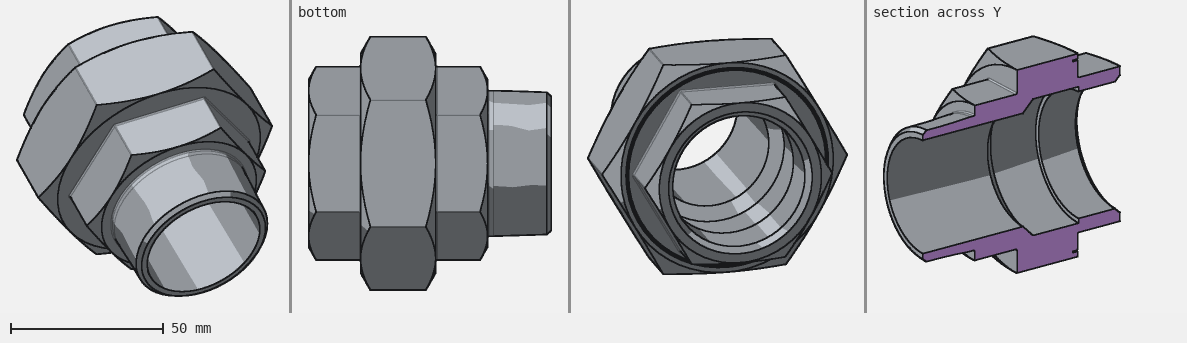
import cadquery as cq
import math


overall_length = 79.5
nut_start = 17.0
nut_end = 41.6
body_end = 58.6

body_across_flats = 55.0
nut_across_flats = 72.0
hex_edge_radius = 0.3
hex_chamfer_angle = 30.0
hex_root_radius = 0.5

groove_outer_diameter = 68.0
collar_diameter = 67.4
groove_depth = 2.0
nut_mouth_chamfer = 0.3
collar_chamfer = 0.3

male_diameter = 47.8
male_root_radius = 0.45
male_collar_length = 1.9
male_taper = 1 / 16
male_end_chamfer_length = 1.5
male_end_chamfer_height = 1.35

bore_diameter = 40.0
socket_diameter = 44.84
socket_mouth_diameter = 48.7
socket_mouth_chamfer_length = 2.0
socket_depth = 16.8
relief_diameter = 48.2
relief_end = 35.0


def revolve_about_x(profile):
    """Solid of revolution of a closed XY profile about the X axis."""
    return profile.close().revolve(360, (0, 0, 0), (1, 0, 0))


def hex_prism(across_flats, start, end):
    """Hexagonal prism along X with slightly rounded long edges."""
    across_corners = across_flats / math.cos(math.pi / 6)
    return (
        cq.Workplane("YZ", origin=(start, 0, 0))
        .polygon(6, across_corners)
        .extrude(end - start)
        .edges("|X")
        .fillet(hex_edge_radius)
    )


def corner_chamfer_envelope(across_flats, start, end, chamfer_start, chamfer_end):
    """Cylinder whose conical ends cut the hexagon corners back to the flats."""
    flat_radius = across_flats / 2
    corner_radius = flat_radius / math.cos(math.pi / 6)
    chamfer_length = (corner_radius - flat_radius) * math.tan(math.radians(hex_chamfer_angle))
    profile = cq.Workplane("XY").moveTo(start, 0)
    if chamfer_start:
        profile = profile.lineTo(start, flat_radius).lineTo(start + chamfer_length, corner_radius)
    else:
        profile = profile.lineTo(start, corner_radius)
    if chamfer_end:
        profile = profile.lineTo(end - chamfer_length, corner_radius).lineTo(end, flat_radius)
    else:
        profile = profile.lineTo(end, corner_radius)
    return revolve_about_x(profile.lineTo(end, 0))


def chamfered_hex(across_flats, start, end, chamfer_start=True, chamfer_end=True):
    """Hexagonal prism whose corners are cut back at the chosen ends."""
    envelope = corner_chamfer_envelope(across_flats, start, end, chamfer_start, chamfer_end)
    return hex_prism(across_flats, start, end).intersect(envelope)


def hex_body():
    """Both body hexagons and the union nut, with filleted roots at the nut faces."""
    nut = chamfered_hex(nut_across_flats, nut_start, nut_end)
    female_hex = chamfered_hex(body_across_flats, 0, nut_start, chamfer_end=False)
    male_hex = chamfered_hex(body_across_flats, nut_end, body_end, chamfer_start=False)
    body = nut.union(female_hex).union(male_hex)
    root_reach = body_across_flats / math.sqrt(3) + hex_root_radius
    tolerance = 0.01
    for face_x in (nut_start, nut_end):
        root_zone = cq.selectors.BoxSelector(
            (face_x - tolerance, -root_reach, -root_reach),
            (face_x + tolerance, root_reach, root_reach),
            boundingbox=True,
        )
        body = body.edges(root_zone).fillet(hex_root_radius)
    return body


def nut_groove():
    """Ring groove in the female side face of the nut, chamfered on both rims."""
    outer_radius = groove_outer_diameter / 2
    inner_radius = collar_diameter / 2
    return revolve_about_x(
        cq.Workplane("XY")
        .moveTo(nut_start, inner_radius - collar_chamfer)
        .lineTo(nut_start + collar_chamfer, inner_radius)
        .lineTo(nut_start + groove_depth, inner_radius)
        .lineTo(nut_start + groove_depth, outer_radius)
        .lineTo(nut_start + nut_mouth_chamfer, outer_radius)
        .lineTo(nut_start, outer_radius + nut_mouth_chamfer)
    )


def male_end():
    """Tapered spigot with a root fillet, a short cylinder and a chamfered tip."""
    radius = male_diameter / 2
    taper_start = body_end + male_collar_length
    taper_end = overall_length - male_end_chamfer_length
    small_radius = radius - (taper_end - taper_start) * male_taper / 2
    return revolve_about_x(
        cq.Workplane("XY")
        .moveTo(body_end, 0)
        .lineTo(body_end, radius + male_root_radius)
        .radiusArc((body_end + male_root_radius, radius), -male_root_radius)
        .lineTo(taper_start, radius)
        .lineTo(taper_end, small_radius)
        .lineTo(overall_length, small_radius - male_end_chamfer_height)
        .lineTo(overall_length, 0)
    )


def bore():
    """Through bore, entered through the chamfered socket, the wider relief and the cone."""
    socket_radius = socket_diameter / 2
    relief_radius = relief_diameter / 2
    bore_radius = bore_diameter / 2
    cone_length = relief_radius - bore_radius
    return revolve_about_x(
        cq.Workplane("XY")
        .lineTo(0, socket_mouth_diameter / 2)
        .lineTo(socket_mouth_chamfer_length, socket_radius)
        .lineTo(socket_depth, socket_radius)
        .lineTo(socket_depth, relief_radius)
        .lineTo(relief_end, relief_radius)
        .lineTo(relief_end + cone_length, bore_radius)
        .lineTo(overall_length, bore_radius)
        .lineTo(overall_length, 0)
    )


result = hex_body().cut(nut_groove()).union(male_end()).cut(bore())